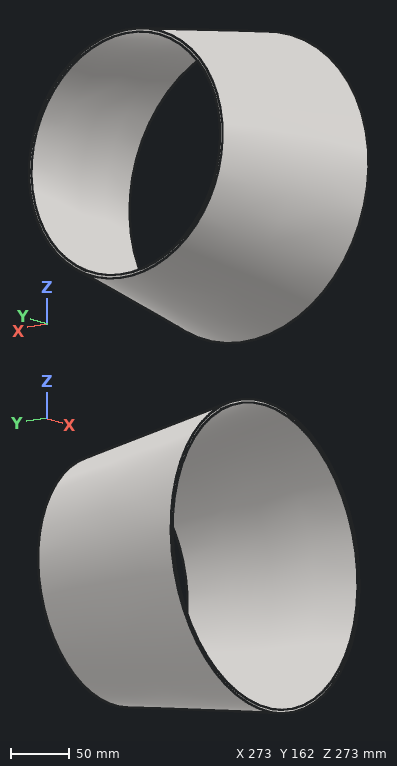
import cadquery as cq

large_diameter = 273.0
small_diameter = 219.0
wall_thickness = 3.0
length = 162.0


def cone_frustum(wide_diameter, narrow_diameter):
    """Solid cone frustum with its wide end at Y = 0 and its narrow end at Y = length."""
    return cq.Workplane("XY").add(
        cq.Solid.makeCone(
            wide_diameter / 2,
            narrow_diameter / 2,
            length,
            pnt=cq.Vector(0, 0, 0),
            dir=cq.Vector(0, 1, 0),
        )
    )


outer_cone = cone_frustum(large_diameter, small_diameter)
bore = cone_frustum(large_diameter - 2 * wall_thickness, small_diameter - 2 * wall_thickness)

result = outer_cone.cut(bore)